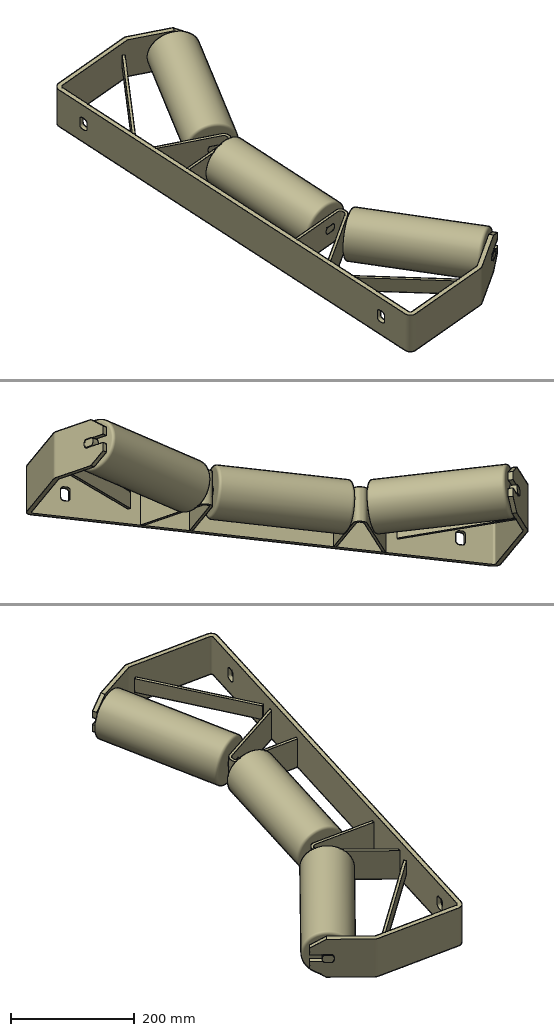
import cadquery as cq
import math

LENGTH = 800.0
WIDTH = 80.0
FRAME_THICK = 8.0
FRAME_BEND = 12.0
ARM_BEND_Y = 166.0
ARM_LENGTH = 108.0
TIP_CHAMFER_LONG = 27.0
TIP_CHAMFER_SIDE = 18.0
LEAN = 30.0
FOOT_HOLE_X = 334.0
FOOT_HOLE_WIDTH = 16.0
FOOT_HOLE_HEIGHT = 24.0
FOOT_HOLE_CORNER = 6.0

BRACKET_WIDTH = 60.0
BRACKET_THICK = 5.0
BRACKET_BEND = 10.0
BRACKET_TOP_Y = 128.0
BRACKET_X = 119.0
BRACKET_FOOT_X = 207.0

STRUT_WIDTH = 29.0
STRUT_THICK = 5.0
STRUT_TOP_Y = 151.0
STRUT_FOOT_X = 228.0

ROLLER_DIA = 89.0
ROLLER_LENGTH = 230.0
ROLLER_EDGE = 5.0
SHAFT_DIA = 20.0
FLAT_WIDTH = 14.0
MIDDLE_Y = 100.0
MIDDLE_Z = 34.0
OUTER_X = 253.0
OUTER_Y = 170.0
OUTER_DROP = 6.8

HALF_LENGTH = LENGTH / 2
MID_WIDTH = WIDTH / 2
SIN = math.sin(math.radians(LEAN))
COS = math.cos(math.radians(LEAN))
END_GAP = BRACKET_X - ROLLER_LENGTH / 2
SHAFT_HALF_MIDDLE = BRACKET_X + BRACKET_THICK
OUTER_TILT = math.degrees(math.asin(OUTER_DROP / ROLLER_LENGTH))
OUTER_Z = MID_WIDTH - OUTER_DROP / 2


def place_middle(body):
    """Move a body made along X to the middle roller."""
    return body.translate((0, MIDDLE_Y, MIDDLE_Z))


def place_outer(body):
    """Move a body made along X to the outer roller on the -X side."""
    tilted = body.rotate((0, 0, 0), (0, 1, 0), OUTER_TILT)
    sloped = tilted.rotate((0, 0, 0), (0, 0, 1), -LEAN)
    return sloped.translate((-OUTER_X, OUTER_Y, OUTER_Z))


def cylinder(diameter, length_left, length_right):
    """Cylinder along X that reaches the given distances to both sides of the origin."""
    start = cq.Workplane("YZ", origin=(-length_left, 0, 0))
    return start.circle(diameter / 2).extrude(length_left + length_right)


def make_roller(left_end, right_end):
    """Roller along X whose flatted shaft reaches left_end and right_end from the centre."""
    half = ROLLER_LENGTH / 2
    flats_length = 2 * max(left_end, right_end)
    shell = cylinder(ROLLER_DIA, half, half).edges("%CIRCLE").fillet(ROLLER_EDGE)
    shaft = cylinder(SHAFT_DIA, half + END_GAP, half + END_GAP)
    flats = cq.Workplane("XY").box(flats_length, SHAFT_DIA, FLAT_WIDTH)
    shaft_ends = cylinder(SHAFT_DIA, left_end, right_end).intersect(flats)
    return shell.union(shaft).union(shaft_ends)


def edges_at(points):
    """Select the edges along Z at the given XY points."""
    reach = FRAME_THICK / 10
    boxes = [
        cq.selectors.BoxSelector((x - reach, y - reach, 0), (x + reach, y + reach, WIDTH))
        for x, y in points
    ]
    chosen = boxes[0]
    for box in boxes[1:]:
        chosen = chosen + box
    return chosen


def make_half_frame():
    """The -X half of the frame, without the shaft slot."""
    inner_x = -HALF_LENGTH + FRAME_THICK
    outer_bends = [(-HALF_LENGTH, 0), (-HALF_LENGTH, ARM_BEND_Y)]
    inner_bends = [
        (inner_x, ARM_BEND_Y - FRAME_THICK * math.tan(math.radians(LEAN / 2))),
        (inner_x, FRAME_THICK),
    ]
    tip_x = -HALF_LENGTH + ARM_LENGTH * SIN
    tip_y = ARM_BEND_Y + ARM_LENGTH * COS
    tip = [(tip_x, tip_y), (tip_x + FRAME_THICK * COS, tip_y - FRAME_THICK * SIN)]
    outline = [(0, 0)] + outer_bends + tip + inner_bends + [(0, FRAME_THICK)]

    half = cq.Workplane("XY").polyline(outline).close().extrude(WIDTH)
    half = half.edges(edges_at(outer_bends)).fillet(FRAME_BEND)
    half = half.edges(edges_at(inner_bends)).fillet(FRAME_BEND - FRAME_THICK)
    return half.cut(tip_corners()).cut(foot_hole())


def tip_corners():
    """Wedges that chamfer the upper and lower corner of the arm tip."""
    arm = cq.Plane(origin=(-HALF_LENGTH, ARM_BEND_Y, 0), xDir=(SIN, COS, 0), normal=(COS, -SIN, 0))
    start = ARM_LENGTH - TIP_CHAMFER_LONG
    lower = [(start, 0), (ARM_LENGTH, 0), (ARM_LENGTH, TIP_CHAMFER_SIDE)]
    upper = [(x, WIDTH - z) for x, z in lower]
    corners = cq.Workplane(arm).polyline(lower).close().polyline(upper).close()
    return corners.extrude(2 * FRAME_THICK, both=True)


def foot_hole():
    """Mounting hole with rounded corners through the base."""
    hole = cq.Workplane("XY").box(FOOT_HOLE_WIDTH, 4 * FRAME_THICK, FOOT_HOLE_HEIGHT)
    return hole.edges("|Y").fillet(FOOT_HOLE_CORNER).translate((-FOOT_HOLE_X, 0, MID_WIDTH))


def tip_slot():
    """Channel from the shaft axis out through the arm tip, as wide as the shaft flats."""
    length = 2 * (END_GAP + FRAME_THICK)
    channel = cq.Workplane("XY").box(length, ROLLER_DIA, FLAT_WIDTH)
    return place_outer(channel.translate((-ROLLER_LENGTH / 2 - length / 2, ROLLER_DIA / 2, 0)))


def make_bracket():
    """Bent bracket on the -X side, without the shaft slots."""
    leg_bend_x = -BRACKET_FOOT_X + (BRACKET_TOP_Y - FRAME_THICK) * SIN / COS
    inner_top_y = BRACKET_TOP_Y - BRACKET_THICK
    leg_width = BRACKET_THICK / COS
    inner_bend_x = -BRACKET_FOOT_X + leg_width + (inner_top_y - FRAME_THICK) * SIN / COS
    inner_x = -BRACKET_X - BRACKET_THICK
    outer_bends = [(leg_bend_x, BRACKET_TOP_Y), (-BRACKET_X, BRACKET_TOP_Y)]
    inner_bends = [(inner_x, inner_top_y), (inner_bend_x, inner_top_y)]
    outline = (
        [(-BRACKET_FOOT_X, FRAME_THICK)]
        + outer_bends
        + [(-BRACKET_X, FRAME_THICK), (inner_x, FRAME_THICK)]
        + inner_bends
        + [(-BRACKET_FOOT_X + leg_width, FRAME_THICK)]
    )
    bracket = cq.Workplane("XY").polyline(outline).close().extrude(BRACKET_WIDTH)
    bracket = bracket.edges(edges_at(outer_bends)).fillet(BRACKET_BEND)
    return bracket.edges(edges_at(inner_bends)).fillet(BRACKET_BEND - BRACKET_THICK)


def make_strut():
    """Strut on the -X side, with one corner of each square end touching the frame."""
    top = (-HALF_LENGTH + FRAME_THICK, STRUT_TOP_Y)
    foot = (-STRUT_FOOT_X, FRAME_THICK)
    run = foot[0] - top[0]
    fall = top[1] - foot[1]
    length = math.hypot(run, fall)
    angle = math.degrees(math.atan2(fall, run))
    plate = cq.Workplane("XY").box(length, STRUT_THICK, STRUT_WIDTH, centered=(False, False, True))
    return plate.rotate((0, 0, 0), (0, 0, 1), -angle).translate((top[0], top[1], MID_WIDTH))


middle_roller = place_middle(make_roller(SHAFT_HALF_MIDDLE, SHAFT_HALF_MIDDLE))
outer_end = ROLLER_LENGTH / 2 + END_GAP + FRAME_THICK
inner_end = ROLLER_LENGTH / 2 + END_GAP + BRACKET_THICK
outer_roller = place_outer(make_roller(outer_end, inner_end))

half_frame = make_half_frame().cut(tip_slot()).cut(outer_roller)
frame = half_frame.union(half_frame.mirror("YZ"))
bracket = make_bracket().cut(middle_roller).cut(outer_roller)
strut = make_strut()

bodies = [frame.val(), middle_roller.val()]
for body in (bracket, strut, outer_roller):
    bodies.append(body.val())
    bodies.append(body.mirror("YZ").val())

result = cq.Compound.makeCompound(bodies)